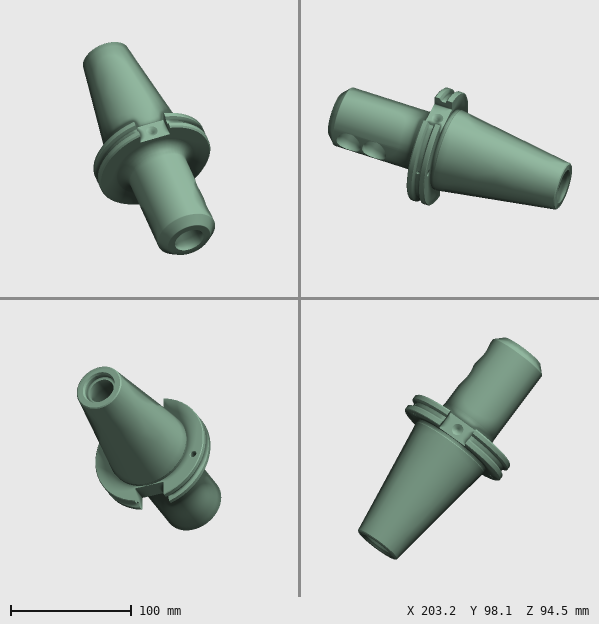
import cadquery as cq
import math

length = 203.2
taper_length = 101.5
neck_start = 102.2
flange_start = 104.9
flange_end = 120.7

gauge_diameter = 70.0
taper_ratio = 7 / 24
neck_diameter = 69.3
tip_chamfer = 0.8

flange_diameter = 98.1
front_rim_chamfer = 0.6
rear_rim_chamfer = 1.2
groove_floor_diameter = 91.5
groove_centre = 112.5
groove_floor_width = 3.5
groove_top_width = 7.0

slot_width = 26.2
slot_corner_radius = 0.6
upper_slot_floor = 37.5
lower_slot_floor = 35.0
dimple_diameter = 9.5
dimple_depth = 2.8

shank_diameter = 50.8
neck_fillet = 8.3
end_chamfer = 7.0
end_rounding = 0.8

through_diameter = 21.5
entry_diameter = 26.6
entry_mouth_diameter = 28.9
entry_chamfer = 2.0
entry_depth = 6.0
socket_diameter = 25.5
socket_depth = 71.1

screw_diameter = 21.5
screw_stations = (159.1, 181.9)

coolant_angle = 20.0
coolant_radius = 42.0
coolant_diameter = 5.0
coolant_mouth_diameter = 6.0
coolant_mouth_chamfer = 0.6
outlet_diameter = 3.3


def turned_body():
    """Revolve the taper, flange and shank about X, then round the end chamfer."""
    gauge_radius = gauge_diameter / 2
    tip_radius = gauge_radius - taper_length * taper_ratio / 2
    neck_radius = neck_diameter / 2
    rim_radius = flange_diameter / 2
    floor_radius = groove_floor_diameter / 2
    shank_radius = shank_diameter / 2
    half_top = groove_top_width / 2
    half_floor = groove_floor_width / 2
    arc_reach = neck_fillet * (1 - math.sqrt(0.5))
    profile = (
        cq.Workplane("XY")
        .lineTo(0, tip_radius - tip_chamfer)
        .lineTo(tip_chamfer, tip_radius + tip_chamfer * taper_ratio / 2)
        .lineTo(taper_length, gauge_radius)
        .lineTo(neck_start, neck_radius)
        .lineTo(flange_start, neck_radius)
        .lineTo(flange_start, rim_radius - front_rim_chamfer)
        .lineTo(flange_start + front_rim_chamfer, rim_radius)
        .lineTo(groove_centre - half_top, rim_radius)
        .lineTo(groove_centre - half_floor, floor_radius)
        .lineTo(groove_centre + half_floor, floor_radius)
        .lineTo(groove_centre + half_top, rim_radius)
        .lineTo(flange_end - rear_rim_chamfer, rim_radius)
        .lineTo(flange_end, rim_radius - rear_rim_chamfer)
        .lineTo(flange_end, shank_radius + neck_fillet)
        .threePointArc(
            (flange_end + arc_reach, shank_radius + arc_reach),
            (flange_end + neck_fillet, shank_radius),
        )
        .lineTo(length - end_chamfer, shank_radius)
        .lineTo(length, shank_radius - end_chamfer)
        .lineTo(length, 0)
        .close()
    )
    body = profile.revolve(360, (0, 0, 0), (1, 0, 0))
    return body.faces("%CONE").faces(">X").edges("%CIRCLE").fillet(end_rounding)


def axial_bore():
    """Revolve the chamfered entry, through bore and shank socket."""
    entry_radius = entry_diameter / 2
    through_radius = through_diameter / 2
    socket_radius = socket_diameter / 2
    profile = (
        cq.Workplane("XY")
        .lineTo(0, entry_mouth_diameter / 2)
        .lineTo(entry_chamfer, entry_radius)
        .lineTo(entry_depth, entry_radius)
        .lineTo(entry_depth, through_radius)
        .lineTo(length - socket_depth, through_radius)
        .lineTo(length - socket_depth, socket_radius)
        .lineTo(length, socket_radius)
        .lineTo(length, 0)
        .close()
    )
    return profile.revolve(360, (0, 0, 0), (1, 0, 0))


def drive_slot(floor, side):
    """Flat-floored slot across the flange; side is +1 for +Z or -1 for -Z."""
    flange_width = flange_end - flange_start
    depth = flange_diameter / 2 - floor
    floor_edges = "|X and <Z" if side > 0 else "|X and >Z"
    block = cq.Workplane("XY").box(flange_width, slot_width, depth)
    block = block.edges(floor_edges).fillet(slot_corner_radius)
    return block.translate(((flange_start + flange_end) / 2, 0, side * (floor + depth / 2)))


def slot_dimple():
    """Conical dimple in the floor of the upper slot."""
    return cq.Workplane(cq.Solid.makeCone(
        dimple_diameter / 2, 0, dimple_depth,
        cq.Vector(groove_centre, 0, upper_slot_floor), cq.Vector(0, 0, -1),
    ))


def screw_hole(station):
    """Radial hole from the +Y side of the shank to the bore axis."""
    return cq.Workplane(cq.Solid.makeCylinder(
        screw_diameter / 2, shank_diameter / 2,
        cq.Vector(station, 0, 0), cq.Vector(0, 1, 0),
    ))


def coolant_passage(angle):
    """Countersunk axial hole meeting a radial outlet in the groove floor."""
    along = cq.Vector(1, 0, 0)
    outward = cq.Vector(0, math.cos(math.radians(angle)), math.sin(math.radians(angle)))
    mouth = outward * coolant_radius + along * flange_start
    elbow = outward * coolant_radius + along * groove_centre
    inlet = cq.Solid.makeCylinder(coolant_diameter / 2, groove_centre - flange_start, mouth, along)
    countersink = cq.Solid.makeCone(
        coolant_mouth_diameter / 2, coolant_diameter / 2, coolant_mouth_chamfer, mouth, along
    )
    outlet_length = flange_diameter / 2 - coolant_radius
    outlet = cq.Solid.makeCylinder(outlet_diameter / 2, outlet_length, elbow, outward)
    return cq.Workplane(inlet).union(countersink).union(outlet)


result = turned_body().cut(axial_bore())
result = result.cut(drive_slot(upper_slot_floor, 1))
result = result.cut(drive_slot(lower_slot_floor, -1))
result = result.cut(slot_dimple())
for station in screw_stations:
    result = result.cut(screw_hole(station))
for angle in (coolant_angle, coolant_angle + 180):
    result = result.cut(coolant_passage(angle))